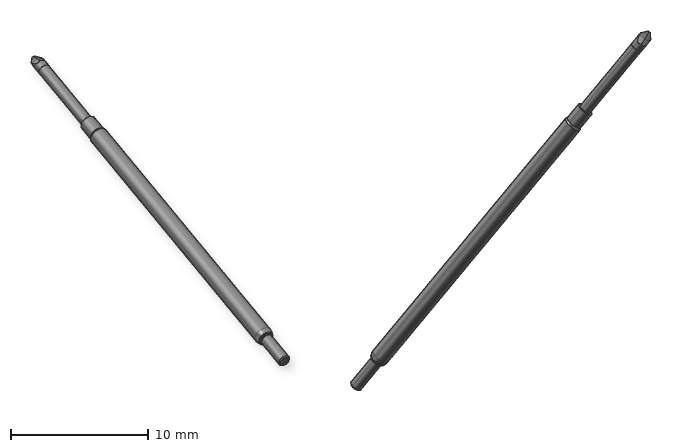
import cadquery as cq
import math

total_length = 35.81
tip_x = -total_length / 2
tail_end_x = total_length / 2

pin_diameter = 0.92
stem_diameter = 0.90
collar_diameter = 1.23
barrel_diameter = 1.37
neck_diameter = 0.88

head_end_x = tip_x + 1.56
collar_start_x = tip_x + 7.8
barrel_start_x = tip_x + 9.15
barrel_end_x = tail_end_x - 2.70

barrel_bevel_length = 0.15
barrel_round_length = 0.41
barrel_round_depth = 0.09
neck_length = 0.12
tail_chamfer = 0.1

edge_half_height = 0.001
tip_edge = (0, 0.12, edge_half_height)
tip_break = (0.58, 0.58, 0.28)
tip_base = (1.5, 1.5, 0.74)


def cylinder(start_x, end_x, diameter):
    """Solid cylinder along X between two stations."""
    return cq.Workplane("YZ", origin=(start_x, 0, 0)).circle(diameter / 2).extrude(end_x - start_x)


def rhombus(distance, half_width, half_height):
    """Rhombic wire across the axis, with its corners in the XY and XZ planes."""
    corners = [(half_width, 0), (0, half_height), (-half_width, 0), (0, -half_height)]
    x = tip_x + distance
    return cq.Wire.makePolygon([cq.Vector(x, y, z) for y, z in corners], close=True)


def tip_stage(front, back):
    """Tapered four-sided block between two rhombic cross-sections."""
    return cq.Workplane(cq.Solid.makeLoft([rhombus(*front), rhombus(*back)], True))


def make_head():
    """Pin head sharpened by two four-sided stages of different taper."""
    base_x = tip_x + tip_base[0]
    point = cylinder(tip_x, base_x, pin_diameter)
    point = point.intersect(tip_stage(tip_edge, tip_break).union(tip_stage(tip_break, tip_base)))
    return point.union(cylinder(base_x, head_end_x, pin_diameter))


def make_barrel():
    """Barrel bevelled up from the collar at the front and rolled over at the back."""
    collar_radius = collar_diameter / 2
    barrel_radius = barrel_diameter / 2
    round_start_x = barrel_end_x - barrel_round_length
    round_radius = (barrel_round_length**2 + barrel_round_depth**2) / (2 * barrel_round_depth)
    half_angle = math.asin(barrel_round_length / round_radius) / 2
    round_middle = (
        round_start_x + round_radius * math.sin(half_angle),
        barrel_radius - round_radius * (1 - math.cos(half_angle)),
    )
    profile = (
        cq.Workplane("XY")
        .moveTo(barrel_start_x, 0)
        .lineTo(barrel_start_x, collar_radius)
        .lineTo(barrel_start_x + barrel_bevel_length, barrel_radius)
        .lineTo(round_start_x, barrel_radius)
        .threePointArc(round_middle, (barrel_end_x, barrel_radius - barrel_round_depth))
        .lineTo(barrel_end_x, 0)
        .close()
    )
    return profile.revolve(360, (0, 0, 0), (1, 0, 0))


def make_tail():
    """Terminal pin with a short, slightly thinner neck against the barrel and a chamfered end."""
    neck_end_x = barrel_end_x + neck_length
    neck = cylinder(barrel_end_x, neck_end_x, neck_diameter)
    pin = cylinder(neck_end_x, tail_end_x, pin_diameter).faces(">X").chamfer(tail_chamfer)
    return neck.union(pin)


stem = cylinder(head_end_x, collar_start_x, stem_diameter)
collar = cylinder(collar_start_x, barrel_start_x, collar_diameter)

result = make_head().union(stem).union(collar).union(make_barrel()).union(make_tail())